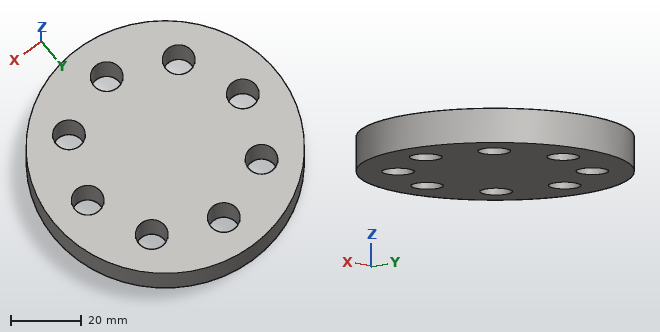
import cadquery as cq

plate_diameter = 79.3
plate_thickness = 10.0

hole_count = 8
hole_diameter = 9.3
hole_circle_diameter = 55.35

plate = cq.Workplane("XY").circle(plate_diameter / 2).extrude(plate_thickness)

result = (
    plate.faces(">Z")
    .workplane()
    .polarArray(hole_circle_diameter / 2, 0, 360, hole_count)
    .hole(hole_diameter)
)